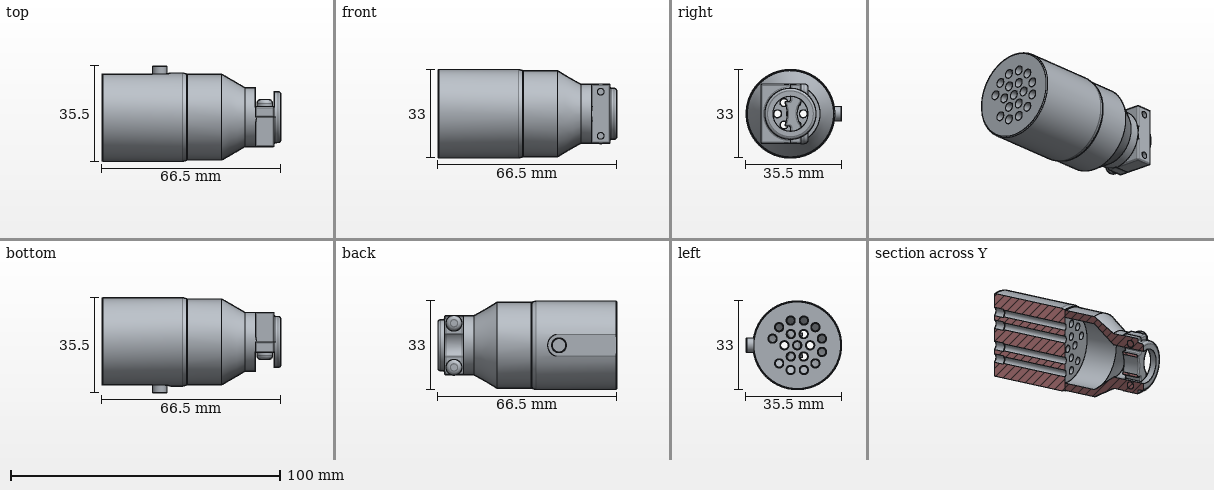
import cadquery as cq
import math


sleeve_radius = 16.5
sleeve_length = 31.5
sleeve_front_chamfer = 0.4
sleeve_taper_length = 1.5
sleeve_rear_radius = 16.1

contact_diameter = 2.8
contact_mouth_diameter = 3.4
contact_mouth_depth = 4.0
inner_circle_radius = 4.8
inner_circle_count = 6
outer_circle_radius = 9.5
outer_circle_step = 30
outer_circle_first = 15
outer_circle_count = 11

pin_x = 21.5
pin_diameter = 5.5
pin_top = 19.0
pin_edge_chamfer = 0.25
pin_seat_height = 16.0
pin_seat_radius = 4.2

shell_radius = 16.0
shell_edge_chamfer = 0.4
cone_start = 44.5
cone_end = 53.1
neck_radius = 11.0
shell_wall = 3.0
cable_bore_radius = 6.5

clamp_start = 57.0
clamp_end = 64.0
clamp_edge_fillet = 0.5
runout_length = 2.65
runout_depth = 0.37
flange_radius = 9.5
flange_end = 66.5
flange_rim_fillet = 1.0
flange_root_fillet = 0.5
saddle_top = 4.0
saddle_dip_center = 9.0
saddle_dip_radius = 6.5
tongue_half_width = 4.6
tongue_tip = -2.3
tongue_middle = -1.2

screw_z = 8.2
shank_diameter = 2.5
shank_tip = -7.0
head_diameter = 5.9
head_height = 2.6
head_rim_fillet = 1.6

clamp_length = clamp_end - clamp_start
clamp_middle = (clamp_start + clamp_end) / 2
clamp_half_width = neck_radius
X_AXIS = ((0, 0, 0), (1, 0, 0))


def x_cylinder(radius, start, end):
    return cq.Workplane("YZ", origin=(start, 0, 0)).circle(radius).extrude(end - start)


def y_cylinder(diameter, x, z, bottom, top):
    """Cylinder along Y standing at (x, z)."""
    return (
        cq.Workplane("XZ", origin=(x, bottom, z))
        .circle(diameter / 2)
        .extrude(bottom - top)
    )


def contact_centers():
    """Y, Z positions: one central contact, a full inner circle and an outer circle short of one."""
    centers = [(0, 0)]
    for i in range(inner_circle_count):
        angle = math.radians(i * 360 / inner_circle_count)
        centers.append((inner_circle_radius * math.cos(angle), inner_circle_radius * math.sin(angle)))
    for i in range(outer_circle_count):
        angle = math.radians(outer_circle_first + i * outer_circle_step)
        centers.append((outer_circle_radius * math.cos(angle), outer_circle_radius * math.sin(angle)))
    return centers


def make_sleeve():
    taper_start = sleeve_length - sleeve_taper_length
    body = (
        cq.Workplane("XY")
        .moveTo(0, 0)
        .lineTo(0, sleeve_radius - sleeve_front_chamfer)
        .lineTo(sleeve_front_chamfer, sleeve_radius)
        .lineTo(taper_start, sleeve_radius)
        .lineTo(sleeve_length, sleeve_rear_radius)
        .lineTo(sleeve_length, 0)
        .close()
        .revolve(360, *X_AXIS)
    )
    centers = contact_centers()
    face = cq.Workplane("YZ").pushPoints(centers)
    bores = face.circle(contact_diameter / 2).extrude(sleeve_length)
    mouths = face.circle(contact_mouth_diameter / 2).extrude(contact_mouth_depth)
    seat_end = y_cylinder(2 * pin_seat_radius, pin_x, 0, pin_seat_height, pin_top)
    seat_run = cq.Workplane("XY").box(
        pin_x, pin_top - pin_seat_height, 2 * pin_seat_radius, centered=(False, False, True)
    ).translate((0, pin_seat_height, 0))
    return body.cut(bores).cut(mouths).cut(seat_end).cut(seat_run)


def make_key_pin():
    pin = y_cylinder(pin_diameter, pin_x, 0, pin_seat_height, pin_top)
    return pin.faces(">Y").chamfer(pin_edge_chamfer)


def corner_wedge(corner, legs):
    """Tetrahedron with three edges along X, Y and Z, of the given signed lengths, from one corner."""
    corner = cq.Vector(*corner)
    leg_x, leg_y, leg_z = legs
    end_x = corner + cq.Vector(leg_x, 0, 0)
    end_y = corner + cq.Vector(0, leg_y, 0)
    end_z = corner + cq.Vector(0, 0, leg_z)
    triangles = [
        (corner, end_x, end_y),
        (corner, end_y, end_z),
        (corner, end_z, end_x),
        (end_x, end_y, end_z),
    ]
    faces = [cq.Face.makeFromWires(cq.Wire.makePolygon(points, close=True)) for points in triangles]
    return cq.Solid.makeSolid(cq.Shell.makeShell(faces))


def make_fillet_runout():
    """Filling where the front fillet of the block's outer face fades out at the line touching the neck."""
    filling = cq.Workplane("XY").box(
        2 * clamp_edge_fillet, 2 * clamp_edge_fillet, 2 * runout_length, centered=(False, False, True)
    ).translate((clamp_start, -neck_radius, 0))
    for side in (-1, 1):
        end = side * runout_length
        wedge = corner_wedge((clamp_start, -neck_radius, end), (runout_depth, runout_depth, -end))
        filling = filling.cut(cq.Workplane(wedge))
    return filling


def make_backshell():
    outside = (
        cq.Workplane("XY")
        .moveTo(sleeve_length, 0)
        .lineTo(sleeve_length, shell_radius - shell_edge_chamfer)
        .lineTo(sleeve_length + shell_edge_chamfer, shell_radius)
        .lineTo(cone_start, shell_radius)
        .lineTo(cone_end, neck_radius)
        .lineTo(clamp_start, neck_radius)
        .lineTo(clamp_start, 0)
        .close()
        .revolve(360, *X_AXIS)
    )
    cavity = (
        cq.Workplane("XY")
        .moveTo(sleeve_length, 0)
        .lineTo(sleeve_length, shell_radius - shell_wall)
        .lineTo(cone_start, shell_radius - shell_wall)
        .lineTo(cone_end, cable_bore_radius)
        .lineTo(flange_end, cable_bore_radius)
        .lineTo(flange_end, 0)
        .close()
        .revolve(360, *X_AXIS)
    )
    lower_half = cq.Workplane("XY").box(
        flange_end, neck_radius, 2 * clamp_half_width, centered=(False, False, True)
    ).translate((0, -neck_radius, 0))
    block = (
        cq.Workplane("XY")
        .box(clamp_length, neck_radius, 2 * clamp_half_width, centered=(True, False, True))
        .translate((clamp_middle, -neck_radius, 0))
        .edges("not >Y")
        .fillet(clamp_edge_fillet)
    )
    neck_root_depth = neck_radius / 2
    neck_root_limits = cq.Workplane("XY").box(
        clamp_middle, neck_root_depth, 2 * clamp_half_width, centered=(False, False, True)
    ).translate((0, -neck_root_depth, 0))
    neck_root = x_cylinder(neck_radius, clamp_start, clamp_middle).intersect(neck_root_limits)
    flange = x_cylinder(flange_radius, clamp_end, flange_end).faces(">X").edges().fillet(flange_rim_fillet)
    root_outer = flange_radius + flange_root_fillet
    flange_root = (
        cq.Workplane("XY")
        .moveTo(clamp_end, 0)
        .lineTo(clamp_end, root_outer)
        .radiusArc((clamp_end + flange_root_fillet, flange_radius), -flange_root_fillet)
        .lineTo(clamp_end + flange_root_fillet, 0)
        .close()
        .revolve(360, *X_AXIS)
        .intersect(lower_half)
    )
    shell = outside.union(block).union(neck_root).union(make_fillet_runout())
    shell = shell.union(flange).union(flange_root).cut(cavity)
    for side in (-1, 1):
        shell = shell.cut(y_cylinder(shank_diameter, clamp_middle, side * screw_z, -neck_radius, 0))
    return shell


def make_saddle():
    dip_bottom = saddle_dip_center - saddle_dip_radius
    dip_half_width = math.sqrt(saddle_dip_radius**2 - (saddle_dip_center - saddle_top) ** 2)
    saddle = (
        cq.Workplane("YZ", origin=(clamp_start, 0, 0))
        .moveTo(0, -clamp_half_width)
        .lineTo(saddle_top, -clamp_half_width)
        .lineTo(saddle_top, -dip_half_width)
        .threePointArc((dip_bottom, 0), (saddle_top, dip_half_width))
        .lineTo(saddle_top, clamp_half_width)
        .lineTo(0, clamp_half_width)
        .lineTo(0, tongue_half_width)
        .lineTo(tongue_tip, tongue_half_width)
        .threePointArc((tongue_middle, 0), (tongue_tip, -tongue_half_width))
        .lineTo(0, -tongue_half_width)
        .close()
        .extrude(clamp_length)
        .edges()
        .fillet(clamp_edge_fillet)
    )
    for side in (-1, 1):
        saddle = saddle.cut(y_cylinder(shank_diameter, clamp_middle, side * screw_z, 0, saddle_top))
    return saddle


def make_screw(z):
    shank = y_cylinder(shank_diameter, clamp_middle, z, shank_tip, saddle_top)
    head = y_cylinder(head_diameter, clamp_middle, z, saddle_top, saddle_top + head_height)
    head = head.faces(">Y").edges().fillet(head_rim_fillet)
    return shank.union(head)


sleeve = make_sleeve()
key_pin = make_key_pin()
backshell = make_backshell()
saddle = make_saddle()
screws = [make_screw(side * screw_z).val() for side in (-1, 1)]

result = cq.Compound.makeCompound(
    [sleeve.val(), key_pin.val(), backshell.val(), saddle.val(), *screws]
)